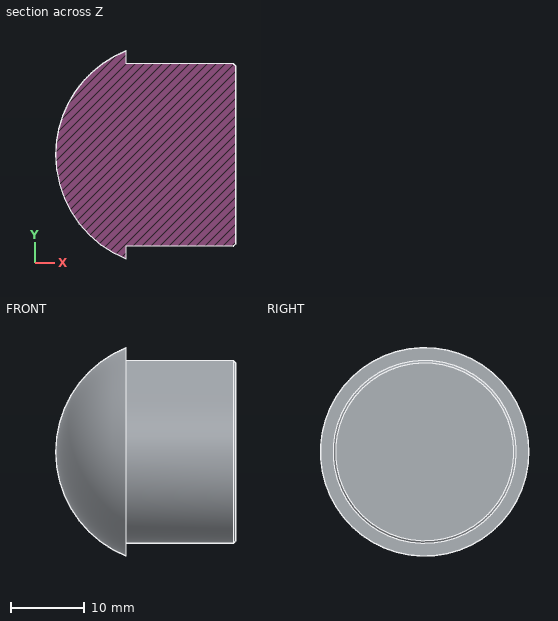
import cadquery as cq
import math

total_length = 24.62
cap_diameter = 28.5
cap_height = 9.63
stem_diameter = 25.0
stem_chamfer = 0.35

cap_radius = cap_diameter / 2
stem_length = total_length - cap_height

sphere_radius = (cap_radius**2 + cap_height**2) / (2 * cap_height)
sphere_center_x = sphere_radius - cap_height


def make_cap():
    """Revolve a circular arc from apex to rim about the X axis."""
    half_angle = math.asin(cap_radius / sphere_radius) / 2
    arc_middle = (
        sphere_center_x - sphere_radius * math.cos(half_angle),
        sphere_radius * math.sin(half_angle),
    )
    profile = (
        cq.Workplane("XY")
        .moveTo(-cap_height, 0)
        .threePointArc(arc_middle, (0, cap_radius))
        .lineTo(0, 0)
        .close()
    )
    return profile.revolve(360, (0, 0, 0), (1, 0, 0))


def make_stem():
    """Cylinder with a small chamfer around its free end."""
    stem = cq.Workplane("YZ").circle(stem_diameter / 2).extrude(stem_length)
    return stem.faces(">X").edges().chamfer(stem_chamfer)


result = make_cap().union(make_stem())